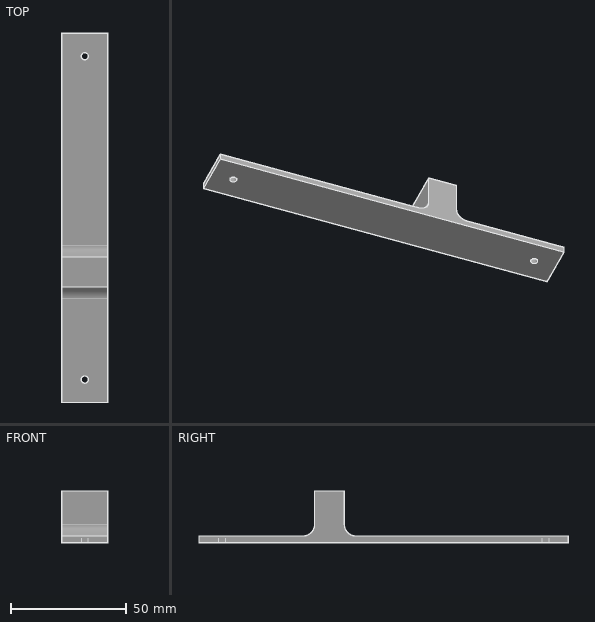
import cadquery as cq

strip_width = 20.0
strip_length = 160.0
strip_thickness = 3.0

overall_height = 22.5
block_length = 13.0
block_offset = 50.0
root_fillet_radius = 5.0

hole_diameter = 3.0
hole_end_distance = 10.0

half_length = strip_length / 2
block_near_y = -half_length + block_offset
block_far_y = block_near_y + block_length
block_center_y = (block_near_y + block_far_y) / 2
hole_y = half_length - hole_end_distance


def make_strip():
    return cq.Workplane("XY").box(
        strip_width, strip_length, strip_thickness, centered=(True, True, False)
    )


def make_block():
    return (
        cq.Workplane("XY")
        .center(0, block_center_y)
        .box(strip_width, block_length, overall_height, centered=(True, True, False))
    )


def fillet_block_root(body):
    """Round the two inside corners where the block meets the strip."""
    for face_y in (block_near_y, block_far_y):
        corner = (0, face_y, strip_thickness)
        body = body.edges(cq.NearestToPointSelector(corner)).fillet(root_fillet_radius)
    return body


def drill_mounting_holes(body):
    drills = (
        cq.Workplane("XY")
        .pushPoints([(0, -hole_y), (0, hole_y)])
        .circle(hole_diameter / 2)
        .extrude(strip_thickness)
    )
    return body.cut(drills)


body = make_strip().union(make_block())
body = fillet_block_root(body)
result = drill_mounting_holes(body)